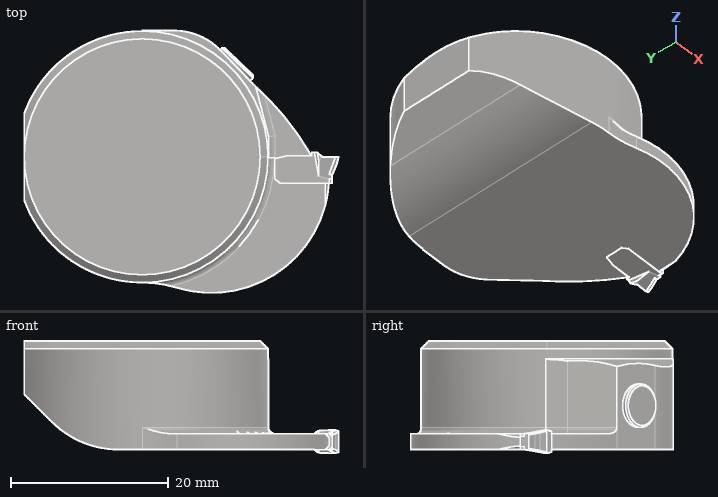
import cadquery as cq
import math


BOSS_RADIUS = 16.0
BOSS_HEIGHT = 13.85
TOP_CHAMFER = 1.0
FLAT_X = -(BOSS_RADIUS - TOP_CHAMFER)

RELIEF_HEIGHT = 7.05
RELIEF_RADIUS = 12.0

BLOCK_TOP = 11.55
BLOCK_SIDE_Y = 16.1
BLOCK_ROUND_X = 4.0
BLOCK_ROUND_RADIUS = 8.3
BLOCK_CORNER = (14.45, 8.9)
WALL_X = 16.1
WALL_BEND_Y = 2.6
WALL_END_Y = -0.1
FACE_NORMAL_ANGLE = 46.0

SCREW_DIAMETER = 5.5
SCREW_PROUD = 0.7
SCREW_CHAMFER = 0.25
SCREW_CENTRE = (11.8, 11.6)
SCREW_Z = 5.6
SCREW_EMBEDDED = 0.8

BLADE_THICKNESS = 2.05
BLADE_RADIUS = 15.0
BLADE_CENTRE = (8.8, -2.3)
BLADE_EDGE_MIDDLE = (18.5, 4.55)
BLADE_EDGE_END = (21.4, 0.35)
ROOT_FILLET = 0.8
BLADE_BEVEL_X = 23.3

SHANK_BACK_X = 16.85
SHANK_FRONT_X = 24.15
SHANK_TOP_Y = 0.15
SHANK_TAPER = (1.7, 0.4)
SHANK_CORNER = (0.7, 0.55)
SHANK_BOTTOM_Y = -3.35
SHANK_END_CHAMFER = 0.35
HEAD_RISE = 0.5
HEAD_REAR_X = 21.55
HEAD_TOP_Y = 0.6
EDGE_X = 25.0
HEAD_SHOULDER = (22.2, HEAD_TOP_Y)
EDGE_START_X = 22.9
EDGE_Y = 0.0
EDGE_CLEARANCE_POINTS = [(24.75, -0.9), (24.5, -1.5)]
END_FOOT = (SHANK_FRONT_X, -2.3)
END_BEVEL_WIDTH = 0.4
END_BEVEL_DEPTH = 0.15
FLANK_LENGTH = 2.8
FLANK_ANGLE = -15.0
RAMP_START_X = 22.0
RAMP_BREAK_X = 22.35
RAMP_BREAK_RISE = 0.3
RAMP_CREST_X = 22.85
RAMP_ANGLE = 10.0

CUT_SPAN = 80.0



def block_from(outline, bottom, top):
    """Solid standing on a closed plan outline between two heights."""
    return outline.extrude(top - bottom).translate((0, 0, bottom))


def blade_solid(bottom, top):
    """Plan shape of the blade, hollow next to the boss and round at its free end."""
    centre_x, centre_y = BLADE_CENTRE
    offset_y = BOSS_RADIUS + centre_y
    hollow_radius = (centre_x**2 + offset_y**2 - BLADE_RADIUS**2) / (2 * (BLADE_RADIUS - offset_y))
    hollow_centre_y = -BOSS_RADIUS - hollow_radius
    share = hollow_radius / (hollow_radius + BLADE_RADIUS)
    junction = (centre_x * share, hollow_centre_y + (centre_y - hollow_centre_y) * share)
    half_angle = math.asin(junction[0] / hollow_radius) / 2
    hollow_middle = (
        hollow_radius * math.sin(half_angle),
        hollow_centre_y + hollow_radius * math.cos(half_angle),
    )
    middle = (
        centre_x + BLADE_RADIUS * math.sin(math.radians(45)),
        centre_y - BLADE_RADIUS * math.cos(math.radians(45)),
    )
    end_x = centre_x + math.sqrt(BLADE_RADIUS**2 - (SHANK_BOTTOM_Y - centre_y) ** 2)
    outline = (
        cq.Workplane("XY")
        .moveTo(0, -BOSS_RADIUS)
        .threePointArc(hollow_middle, junction)
        .threePointArc(middle, (end_x, SHANK_BOTTOM_Y))
        .lineTo(*BLADE_EDGE_END)
        .threePointArc(BLADE_EDGE_MIDDLE, BLOCK_CORNER)
        .lineTo(0, 0)
        .close()
    )
    return block_from(outline, bottom, top)


def make_boss():
    """Round boss with a chamfered top edge."""
    return cq.Workplane("XY").circle(BOSS_RADIUS).extrude(BOSS_HEIGHT).faces(">Z").chamfer(TOP_CHAMFER)


def make_clamping_block():
    """Block beside the boss; its top slopes down at 45 degrees from the boss wall."""
    angle = math.radians(FACE_NORMAL_ANGLE)
    round_centre_y = BLOCK_SIDE_Y - BLOCK_ROUND_RADIUS

    def on_round(theta):
        return (
            BLOCK_ROUND_X + BLOCK_ROUND_RADIUS * math.cos(theta),
            round_centre_y + BLOCK_ROUND_RADIUS * math.sin(theta),
        )

    outline = (
        cq.Workplane("XY")
        .moveTo(0, BLOCK_SIDE_Y)
        .lineTo(BLOCK_ROUND_X, BLOCK_SIDE_Y)
        .threePointArc(on_round((angle + math.pi / 2) / 2), on_round(angle))
        .lineTo(*BLOCK_CORNER)
        .lineTo(WALL_X, WALL_BEND_Y)
        .lineTo(WALL_X, WALL_END_Y)
        .lineTo(0, WALL_END_Y)
        .close()
    )
    cone_base_radius = BOSS_RADIUS + BLOCK_TOP
    cone = (
        cq.Workplane("XZ")
        .polyline([(0, 0), (cone_base_radius, 0), (BOSS_RADIUS, BLOCK_TOP), (0, BLOCK_TOP)])
        .close()
        .revolve(360, (0, 0, 0), (0, 1, 0))
    )
    return block_from(outline, 0, BLOCK_TOP).intersect(cone)


def fillet_profile(plane, wall, inner):
    """Section of a wall foot: solid from `inner` out to a hollow fillet on the blade top."""
    top = BLADE_THICKNESS + ROOT_FILLET
    reach = wall + ROOT_FILLET
    sag = ROOT_FILLET * (1 - math.sqrt(0.5))
    return (
        cq.Workplane(plane)
        .moveTo(inner, 0)
        .lineTo(reach, 0)
        .lineTo(reach, BLADE_THICKNESS)
        .threePointArc((wall + sag, BLADE_THICKNESS + sag), (wall, top))
        .lineTo(inner, top)
        .close()
    )


def make_root_fillet():
    """Fillet between the blade and the boss, continued along the two flat walls of the block."""
    ring = fillet_profile("XZ", BOSS_RADIUS, 0).revolve(360, (0, 0, 0), (0, 1, 0))
    ring_side = cq.Workplane("XY").box(CUT_SPAN, CUT_SPAN, CUT_SPAN)
    ring = ring.intersect(ring_side.translate((0, WALL_END_Y - CUT_SPAN / 2, 0)))

    bend = cq.Vector(WALL_X, WALL_BEND_Y, 0)
    along = (cq.Vector(*BLOCK_CORNER, 0) - bend).normalized()
    slanted_plane = cq.Plane(bend, xDir=(along.y, -along.x, 0), normal=-along)
    slanted = fillet_profile(slanted_plane, 0, -WALL_X / 2).extrude(CUT_SPAN, both=True)
    straight_plane = cq.Plane((0, WALL_END_Y, 0), xDir=(1, 0, 0), normal=(0, -1, 0))
    straight = fillet_profile(straight_plane, WALL_X, WALL_X / 2).extrude(-CUT_SPAN)

    fillet = ring.union(slanted.intersect(straight))
    return fillet.intersect(blade_solid(0, BOSS_HEIGHT))


def make_relief_cut():
    """Waste under the -X side of the boss: a 45 degree slope, then an arc into the underside."""
    bend_height = RELIEF_RADIUS * (1 - math.cos(math.radians(45)))
    bend_x = FLAT_X + RELIEF_HEIGHT - bend_height
    end_x = bend_x + RELIEF_RADIUS * math.sin(math.radians(45))
    half_angle = math.radians(22.5)
    middle = (
        end_x - RELIEF_RADIUS * math.sin(half_angle),
        RELIEF_RADIUS * (1 - math.cos(half_angle)),
    )
    return (
        cq.Workplane("XZ")
        .moveTo(FLAT_X, RELIEF_HEIGHT)
        .lineTo(bend_x, bend_height)
        .threePointArc(middle, (end_x, 0))
        .lineTo(FLAT_X, 0)
        .close()
        .extrude(CUT_SPAN / 2, both=True)
    )


def make_side_flat_cut():
    """Waste beyond the flat on the -X side of the boss."""
    return cq.Workplane("XY").box(CUT_SPAN, CUT_SPAN, CUT_SPAN).translate((FLAT_X - CUT_SPAN / 2, 0, 0))


def make_screw_head():
    """Chamfered round head standing out of the sloping face."""
    angle = math.radians(FACE_NORMAL_ANGLE)
    outward = cq.Vector(math.cos(angle), math.sin(angle), 0)
    seat = cq.Vector(*SCREW_CENTRE, SCREW_Z) - outward * SCREW_EMBEDDED
    plane = cq.Plane(seat, xDir=(0, 0, 1), normal=outward)
    head = cq.Workplane(plane).circle(SCREW_DIAMETER / 2).extrude(SCREW_EMBEDDED + SCREW_PROUD)
    return head.faces(cq.selectors.DirectionMinMaxSelector(outward, True)).chamfer(SCREW_CHAMFER)


def insert_shank():
    """Flat shank of the insert, as thick as the blade."""
    outline = cq.Workplane("XY").polyline(
        [
            (SHANK_BACK_X, SHANK_TOP_Y - SHANK_TAPER[1]),
            (SHANK_BACK_X + SHANK_TAPER[0], SHANK_TOP_Y),
            (HEAD_REAR_X, SHANK_TOP_Y),
            (HEAD_REAR_X, HEAD_TOP_Y),
            HEAD_SHOULDER,
            (EDGE_START_X, EDGE_Y),
            (SHANK_FRONT_X, EDGE_Y),
            (SHANK_FRONT_X, SHANK_BOTTOM_Y),
            (SHANK_BACK_X + SHANK_CORNER[0], SHANK_BOTTOM_Y),
            (SHANK_BACK_X, SHANK_BOTTOM_Y + SHANK_CORNER[1]),
        ]
    ).close()
    return block_from(outline, 0, BLADE_THICKNESS)


def make_insert():
    """Cutting insert: flat shank with a thicker cutting head at its free end."""
    shank = insert_shank().faces(">X").edges("|Y").chamfer(SHANK_END_CHAMFER)

    low = -HEAD_RISE
    high = BLADE_THICKNESS + HEAD_RISE
    plan = cq.Workplane("XY").polyline(
        [
            (HEAD_REAR_X, HEAD_TOP_Y),
            HEAD_SHOULDER,
            (EDGE_START_X, EDGE_Y),
            (EDGE_X, EDGE_Y),
            *EDGE_CLEARANCE_POINTS,
            END_FOOT,
            (SHANK_FRONT_X, SHANK_BOTTOM_Y),
            (HEAD_REAR_X, SHANK_BOTTOM_Y),
        ]
    ).close()
    head = block_from(plan, low, high)

    ramps = cq.Workplane("XZ").polyline(
        [
            (RAMP_START_X, 0),
            (RAMP_BREAK_X, -RAMP_BREAK_RISE),
            (RAMP_CREST_X, low),
            (CUT_SPAN, low),
            (CUT_SPAN, high),
            (RAMP_CREST_X, high),
            (RAMP_BREAK_X, BLADE_THICKNESS + RAMP_BREAK_RISE),
            (RAMP_START_X, BLADE_THICKNESS),
        ]
    ).close().extrude(CUT_SPAN, both=True)
    ramps = ramps.rotate((RAMP_START_X, 0, 0), (RAMP_START_X, 0, 1), RAMP_ANGLE)

    flanks = cq.Workplane("YZ").polyline(
        [
            (EDGE_Y - FLANK_LENGTH, 0),
            (EDGE_Y, low),
            (CUT_SPAN, low),
            (CUT_SPAN, high),
            (EDGE_Y, high),
            (EDGE_Y - FLANK_LENGTH, BLADE_THICKNESS),
        ]
    ).close().extrude(CUT_SPAN, both=True)
    flanks = flanks.rotate((SHANK_FRONT_X, EDGE_Y, 0), (SHANK_FRONT_X, EDGE_Y, 1), FLANK_ANGLE)

    head = head.intersect(ramps).intersect(flanks)
    corner = cq.Vector(EDGE_X, EDGE_Y, high)
    foot = cq.Vector(*END_FOOT, BLADE_THICKNESS)
    bevel_direction = foot - corner
    bevel_plane = cq.Plane(corner, xDir=(-bevel_direction.y, bevel_direction.x, 0), normal=bevel_direction)
    bevel = (
        cq.Workplane(bevel_plane)
        .moveTo(-END_BEVEL_WIDTH, 0)
        .lineTo(END_BEVEL_WIDTH, -2 * END_BEVEL_DEPTH)
        .lineTo(END_BEVEL_WIDTH, END_BEVEL_WIDTH)
        .lineTo(-END_BEVEL_WIDTH, END_BEVEL_WIDTH)
        .close()
        .extrude(bevel_direction.Length, both=True)
    )
    head = head.cut(bevel).cut(bevel.mirror("XY", (0, 0, BLADE_THICKNESS / 2)))
    return shank.union(head)


def make_blade_bevel_cut():
    """Waste beyond the two 45 degree bevels at the +X end of the blade."""
    half_thickness = BLADE_THICKNESS / 2
    wedge = (
        cq.Workplane("XZ")
        .moveTo(BLADE_BEVEL_X, BLADE_THICKNESS)
        .lineTo(BLADE_BEVEL_X + half_thickness, BLADE_THICKNESS)
        .lineTo(BLADE_BEVEL_X + half_thickness, half_thickness)
        .close()
        .extrude(CUT_SPAN, both=True)
    )
    return wedge.union(wedge.mirror("XY", (0, 0, half_thickness)))


def make_holder(insert_body):
    """Boss, clamping block, screw head and blade in one piece, with a pocket for the insert."""
    return (
        make_boss()
        .union(make_clamping_block())
        .union(blade_solid(0, BLADE_THICKNESS))
        .union(make_root_fillet())
        .union(make_screw_head())
        .cut(make_relief_cut())
        .cut(make_side_flat_cut())
        .cut(make_blade_bevel_cut())
        .cut(insert_body)
    )


insert = make_insert()
holder = make_holder(insert)
result = cq.Compound.makeCompound([holder.val(), insert.val()])